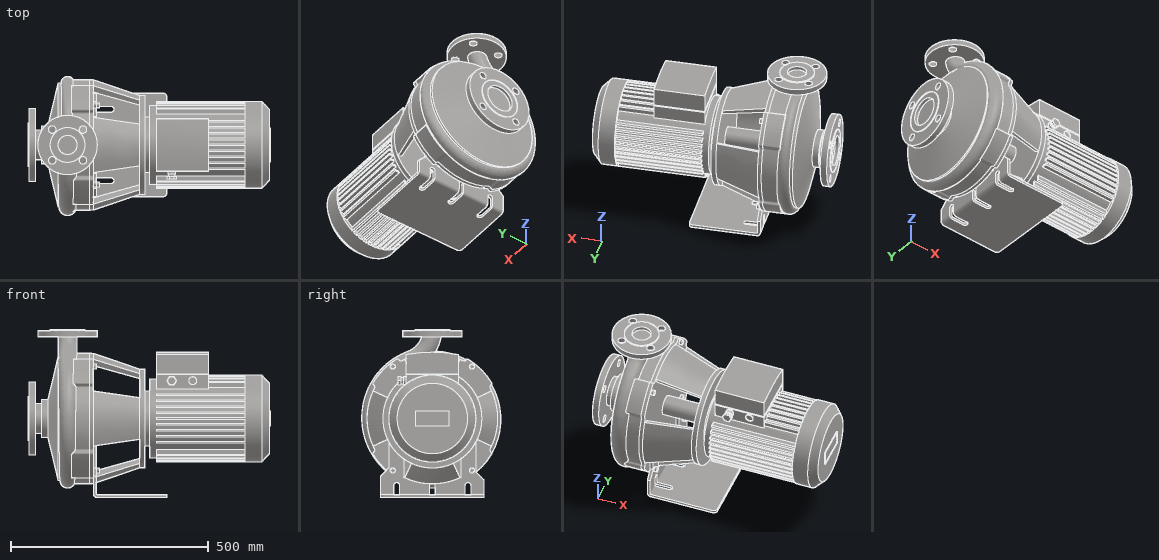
import cadquery as cq
import math


suction_face_x = -100.0
discharge_face_z = 225.0
suction = dict(bore=76.1, flange=185.0, raised=110.0, raised_height=2.0, thickness=17.0, bolt_circle=145.0)
discharge = dict(bore=48.3, flange=150.0, raised=88.0, raised_height=3.0, thickness=16.0, bolt_circle=110.0)
flange_hole_diameter = 19.0
nozzle_bore_depth = 10.0
suction_collar_diameter = 96.1
suction_collar_x = -66.5

volute_radius = 313.36 / 2
cone_start_x = -50.0
cone_end_x = -24.0
tube_end_radius = discharge["bore"] / 2
tube_start_radius = 13.87
tube_section_count = 15
start_angle = -10.0
casing_radius = 165.0
casing_front_x = 10.0
casing_rear_x = 55.0

lug_angles = (45, 135, 225, 315)
lug_radius = 175.0
lug_half_angle = 13.6
lug_foot_half_angle = 17.3
lug_edge_round = 5.2
lug_root_depth = 15.0

lantern_flange_thickness = 10.0
lantern_rear_x = casing_rear_x + lantern_flange_thickness
lantern_ring_x = 182.0
lantern_ring_end_x = 195.0
lantern_ring_radius = 250.0 / 2
lantern_wall_front = 18.0
lantern_wall_rear = 14.0
window_half_angle = 20.0

foot_bottom_z = -200.0
foot_thickness = 8.0
foot_half_width = 131.0
foot_end_x = 251.0
foot_bend_radius = 10.0
foot_corner_radius = 10.0
foot_shoulder_z = -155.5
foot_raised_shoulder_z = -145.5
foot_ear_half_width = 110.0
foot_ear_top_z = -60.0
foot_notch_half_width = 72.0
slot_width = 14.0
slot_spacing = 90.0
slot_top_z = -162.0
slot_end_x = 117.0

bolt_y = 100.0
bolt_z = 131.0
bolt_head_diameter = 13.0
bolt_head_height = 8.0
bolt_shank_diameter = 9.0

shaft_radius = 50.0 / 2
motor_neck_radius = 140.0 / 2
motor_flange_x = 207.0
fins_start_x = 224.0
fan_cover_x = 448.5
fan_cover_taper_x = 490.5
fan_cover_end_x = 510.5
motor_end_x = 512.5
motor_core_radius = 200.0 / 2
motor_outer_radius = 220.0 / 2
fan_cover_end_radius = 89.0
end_plate_size = (85.0, 39.0)
fin_pitch = 15.0
fin_thickness = 4.0
fins_each_side_of_centre = 4

box_length = 132.0
box_half_width = 66.5
box_edge_z = 161.5
box_crown_z = 167.5
box_seam_z = 112.0
seam_width = 2.0
seam_depth = 1.0
gland_x = 263.0
gland_spacing = 53.0
gland_z = 95.5
gland_hole_diameter = 20.0
gland_hole_depth = 2.0
gland_collar_length = 7.0
gland_neck_diameter = 16.0
gland_neck_length = 6.0
gland_nut_across_flats = 21.0
gland_nut_thickness = 7.0


def rod(x_start, x_end, radius, y=0.0, z=0.0):
    """Cylinder along X between two stations."""
    return cq.Workplane("YZ", origin=(x_start, y, z)).circle(radius).extrude(x_end - x_start)


def revolved(profile):
    """Solid of revolution about the shaft axis from (x, radius) points."""
    return cq.Workplane("XY").polyline(profile).close().revolve(360, (0, 0, 0), (1, 0, 0))


def rim_point(radius, angle):
    """Point (y, z) on a circle about the shaft axis, with the angle measured from +Y."""
    return (radius * math.cos(math.radians(angle)), radius * math.sin(math.radians(angle)))


def nozzle_flange(plane, size):
    """Flange with raised face and bolt holes; its sealing face is on the plane, its body behind it."""
    hole_square = size["bolt_circle"] / math.sqrt(2)
    flange = (
        cq.Workplane(plane)
        .workplane(offset=-size["raised_height"])
        .circle(size["flange"] / 2)
        .extrude(-size["thickness"])
    )
    holes = (
        cq.Workplane(plane)
        .rect(hole_square, hole_square, forConstruction=True)
        .vertices()
        .circle(flange_hole_diameter / 2)
        .extrude(-size["raised_height"] - size["thickness"])
    )
    raised = cq.Workplane(plane).circle(size["raised"] / 2).extrude(-size["raised_height"])
    return flange.union(raised).cut(holes)


def nozzle_bore(plane, size):
    """Blind bore that opens in the sealing face."""
    return cq.Workplane(plane).circle(size["bore"] / 2).extrude(-nozzle_bore_depth)


def rim_lugs(x_start, x_end):
    """Four raised pads with rounded edges and filleted roots, reaching in below the rim surface."""
    root_radius = casing_radius - lug_root_depth
    top_slope = math.radians(lug_half_angle)
    foot_slope = math.radians(lug_foot_half_angle)
    top_x, top_y = rim_point(lug_radius, lug_half_angle)
    foot_x, foot_y = rim_point(casing_radius, lug_foot_half_angle)
    flank_y = top_y + lug_edge_round * (1 - math.sin(top_slope))
    flank_top_x = top_x - lug_edge_round * math.cos(top_slope)
    root_round = (foot_y - flank_y) / (1 - math.sin(foot_slope))
    flank_foot_x = foot_x + root_round * math.cos(foot_slope)
    half_lug = (
        cq.Workplane("YZ", origin=(x_start, 0, 0))
        .moveTo(root_radius, 0)
        .lineTo(lug_radius, 0)
        .threePointArc(rim_point(lug_radius, lug_half_angle / 2), (top_x, top_y))
        .tangentArcPoint((flank_top_x, flank_y), relative=False)
        .lineTo(flank_foot_x, flank_y)
        .tangentArcPoint((foot_x, foot_y), relative=False)
        .lineTo(*rim_point(root_radius, lug_foot_half_angle))
        .close()
        .extrude(x_end - x_start)
    )
    lug = half_lug.union(half_lug.mirror("XY"))
    lugs = cq.Workplane("YZ")
    for angle in lug_angles:
        lugs = lugs.add(lug.rotate((0, 0, 0), (1, 0, 0), angle))
    return lugs.combine()



discharge_bend_radius = (discharge_face_z**2 - volute_radius**2) / (2 * volute_radius)
exit_from_top = math.degrees(math.atan(discharge_bend_radius / discharge_face_z))
end_angle = 360 - exit_from_top


def volute_tube():
    """Tube around the casing that grows evenly from the tongue to the discharge pipe.

    Angles run from +Z towards +Y, so the exit lies on the -Y side of the top.
    """
    growth = (tube_end_radius - tube_start_radius) / end_angle
    sections = []
    for i in range(tube_section_count):
        angle = start_angle + (end_angle - start_angle) * i / (tube_section_count - 1)
        y, z = rim_point(volute_radius, 90 - angle)
        along = rim_point(1, -angle)
        sections.append(
            cq.Wire.makeCircle(tube_start_radius + growth * angle, cq.Vector(0, y, z), cq.Vector(0, *along))
        )
    return cq.Workplane(cq.Solid.makeLoft(sections))


suction_plane = cq.Plane((suction_face_x, 0, 0), xDir=(0, 1, 0), normal=(-1, 0, 0))
discharge_plane = cq.Plane((0, 0, discharge_face_z), xDir=(1, 0, 0), normal=(0, 0, 1))


def discharge_pipe():
    """Pipe on the tangent arc, swung from the discharge face down to the end of the volute tube."""
    bend_angle = 90 - exit_from_top
    return (
        cq.Workplane("XY", origin=(0, 0, discharge_face_z))
        .circle(tube_end_radius)
        .revolve(bend_angle, (0, -discharge_bend_radius, 0), (-1, -discharge_bend_radius, 0))
    )


def make_housing():
    suction_radius = suction["bore"] / 2
    collar_radius = suction_collar_diameter / 2
    body = revolved(
        [
            (suction_face_x + nozzle_bore_depth, 0),
            (suction_face_x + nozzle_bore_depth, suction_radius),
            (suction_collar_x, suction_radius),
            (suction_collar_x, collar_radius),
            (cone_start_x, collar_radius),
            (cone_end_x, volute_radius),
            (casing_front_x, volute_radius),
            (casing_front_x, casing_radius),
            (casing_rear_x, casing_radius),
            (casing_rear_x, 0),
        ]
    )
    body = body.union(volute_tube()).union(discharge_pipe())
    body = body.union(rim_lugs(casing_front_x, casing_rear_x))
    for plane, size in ((suction_plane, suction), (discharge_plane, discharge)):
        body = body.union(nozzle_flange(plane, size)).cut(nozzle_bore(plane, size))
    return body




def lantern_windows():
    """Four wedge-shaped openings through the wall, between the flange and the ring."""
    reach = 2 * casing_radius
    windows = cq.Workplane("YZ")
    for angle in lug_angles:
        window = (
            cq.Workplane("YZ", origin=(lantern_rear_x, 0, 0))
            .moveTo(0, 0)
            .lineTo(*rim_point(reach, angle - window_half_angle))
            .lineTo(*rim_point(reach, angle + window_half_angle))
            .close()
            .extrude(lantern_ring_x - lantern_rear_x)
        )
        windows = windows.add(window)
    return windows.combine()


def make_lantern():
    """Tapered hollow wall with windows, closed by the casing flange and the motor ring."""
    wall = revolved(
        [
            (lantern_rear_x, casing_radius - lantern_wall_front),
            (lantern_rear_x, casing_radius),
            (lantern_ring_x, lantern_ring_radius),
            (lantern_ring_x, lantern_ring_radius - lantern_wall_rear),
        ]
    )
    flange = rod(casing_rear_x, lantern_rear_x, casing_radius)
    flange = flange.union(rim_lugs(casing_rear_x, lantern_rear_x))
    ring = rod(lantern_ring_x, lantern_ring_end_x, lantern_ring_radius)
    ring = ring.cut(rod(lantern_ring_x, lantern_ring_end_x, shaft_radius))
    return wall.cut(lantern_windows()).union(flange).union(ring).cut(bolt_holes())



foot_rear_x = lantern_rear_x + foot_thickness
bolt_seats = [
    (-bolt_y, bolt_z, lantern_rear_x),
    (bolt_y, bolt_z, lantern_rear_x),
    (-bolt_y, -bolt_z, foot_rear_x),
    (bolt_y, -bolt_z, foot_rear_x),
]


def bolt_holes():
    holes = cq.Workplane("YZ")
    for y, z, seat_x in bolt_seats:
        holes = holes.add(rod(casing_rear_x, seat_x, bolt_shank_diameter / 2, y, z))
    return holes.combine()


def make_bolt(y, z, seat_x):
    """Bolt with a round head on its seat and a shank that ends at the casing."""
    head = rod(seat_x, seat_x + bolt_head_height, bolt_head_diameter / 2, y, z)
    return head.union(rod(casing_rear_x, seat_x, bolt_shank_diameter / 2, y, z))




def make_foot():
    """Bent plate: an upright with two ears bolted to the lantern and a base reaching under the motor."""
    shoulder_run = foot_half_width - foot_ear_half_width
    base_top_z = foot_bottom_z + foot_thickness

    bent_plate = (
        cq.Workplane("XZ", origin=(0, foot_half_width, 0))
        .moveTo(lantern_rear_x, foot_bottom_z)
        .lineTo(foot_end_x, foot_bottom_z)
        .lineTo(foot_end_x, base_top_z)
        .lineTo(foot_rear_x, base_top_z)
        .lineTo(foot_rear_x, foot_ear_top_z)
        .lineTo(lantern_rear_x, foot_ear_top_z)
        .close()
        .extrude(2 * foot_half_width)
    )
    outer_bend = cq.selectors.NearestToPointSelector((lantern_rear_x, 0, foot_bottom_z))
    inner_bend = cq.selectors.NearestToPointSelector((foot_rear_x, 0, base_top_z))
    bent_plate = bent_plate.edges(outer_bend).fillet(foot_bend_radius)
    bent_plate = bent_plate.edges(inner_bend).fillet(foot_bend_radius - foot_thickness)
    bent_plate = bent_plate.edges(">X and |Z").fillet(foot_corner_radius)

    outline = (
        cq.Workplane("YZ")
        .moveTo(-foot_half_width, foot_bottom_z)
        .lineTo(foot_half_width, foot_bottom_z)
        .lineTo(foot_half_width, foot_shoulder_z)
        .lineTo(foot_ear_half_width, foot_shoulder_z + shoulder_run)
        .lineTo(foot_ear_half_width, foot_ear_top_z)
        .lineTo(-foot_ear_half_width, foot_ear_top_z)
        .lineTo(-foot_ear_half_width, foot_raised_shoulder_z + shoulder_run)
        .lineTo(-foot_half_width, foot_raised_shoulder_z)
        .close()
        .extrude(foot_end_x)
    )
    rib_gap = rod(lantern_rear_x, foot_rear_x, casing_radius).intersect(
        cq.Workplane("YZ", origin=(lantern_rear_x, 0, 0))
        .rect(2 * foot_notch_half_width, 2 * casing_radius)
        .extrude(foot_thickness)
    )
    foot = bent_plate.intersect(outline).cut(rib_gap).cut(bolt_holes())

    slot_height = slot_top_z - foot_bottom_z
    for y in (-slot_spacing, 0, slot_spacing):
        through_base = (
            cq.Workplane("XY", origin=(0, y, foot_bottom_z))
            .slot2D(2 * slot_end_x, slot_width)
            .extrude(slot_height)
        )
        upright_arch = (
            cq.Workplane("YZ", origin=(0, y, foot_bottom_z))
            .slot2D(2 * slot_height, slot_width, 90)
            .extrude(slot_end_x)
        )
        foot = foot.cut(through_base.intersect(upright_arch))
    return foot




def motor_fins():
    """Parallel fins on all four sides, trimmed to the round envelope of the motor."""
    length = fan_cover_x - fins_start_x
    fins = cq.Workplane("YZ")
    for i in range(-fins_each_side_of_centre, fins_each_side_of_centre + 1):
        blank = cq.Workplane("YZ", origin=(fins_start_x, 0, 0))
        offset = i * fin_pitch
        fins = fins.add(blank.center(0, offset).rect(2 * motor_outer_radius, fin_thickness).extrude(length))
        fins = fins.add(blank.center(offset, 0).rect(fin_thickness, 2 * motor_outer_radius).extrude(length))
    return fins.combine().intersect(rod(fins_start_x, fan_cover_x, motor_outer_radius))


def terminal_box():
    """Box with a crowned lid, a shallow seam below the lid and two cable entries on the -Y side."""
    box = (
        cq.Workplane("YZ", origin=(fins_start_x, 0, 0))
        .moveTo(-box_half_width, 0)
        .lineTo(-box_half_width, box_edge_z)
        .threePointArc((0, box_crown_z), (box_half_width, box_edge_z))
        .lineTo(box_half_width, 0)
        .close()
        .extrude(box_length)
    )
    seam_start = cq.Workplane("XY", origin=(fins_start_x + box_length / 2, 0, box_seam_z - seam_width / 2))
    seam = (
        seam_start.rect(box_length, 2 * box_half_width)
        .rect(box_length - 2 * seam_depth, 2 * (box_half_width - seam_depth))
        .extrude(seam_width)
    )
    entries = (
        gland_plane()
        .pushPoints([(0, 0), (gland_spacing, 0)])
        .circle(gland_hole_diameter / 2)
        .extrude(-gland_hole_depth)
    )
    return box.cut(seam).cut(entries)


def gland_plane():
    """Outer face of the terminal box at the first cable entry, facing -Y."""
    return cq.Workplane("XZ", origin=(gland_x, -box_half_width, gland_z))


def make_motor():
    """Motor with its shaft reaching through the lantern ring up to the lantern flange."""
    body = revolved(
        [
            (lantern_rear_x, 0),
            (lantern_rear_x, shaft_radius),
            (lantern_ring_end_x, shaft_radius),
            (lantern_ring_end_x, motor_neck_radius),
            (motor_flange_x, motor_neck_radius),
            (motor_flange_x, motor_core_radius),
            (fan_cover_x, motor_core_radius),
            (fan_cover_x, motor_outer_radius),
            (fan_cover_taper_x, motor_outer_radius),
            (fan_cover_end_x, fan_cover_end_radius),
            (fan_cover_end_x, 0),
        ]
    )
    end_plate = (
        cq.Workplane("YZ", origin=(fan_cover_end_x, 0, 0))
        .rect(*end_plate_size)
        .extrude(motor_end_x - fan_cover_end_x)
    )
    return body.union(motor_fins()).union(terminal_box()).union(end_plate)


def make_gland():
    """Cable gland seated in the first entry: round collar, thinner neck and hexagon nut."""
    nut_across_corners = gland_nut_across_flats / math.cos(math.pi / 6)
    collar = (
        gland_plane()
        .workplane(offset=-gland_hole_depth)
        .circle(gland_hole_diameter / 2)
        .extrude(gland_hole_depth + gland_collar_length)
    )
    neck = (
        gland_plane()
        .workplane(offset=gland_collar_length)
        .circle(gland_neck_diameter / 2)
        .extrude(gland_neck_length)
    )
    nut = (
        gland_plane()
        .workplane(offset=gland_collar_length + gland_neck_length)
        .polygon(6, nut_across_corners)
        .extrude(gland_nut_thickness)
    )
    return collar.union(neck).union(nut)


housing = make_housing()
lantern = make_lantern()
foot = make_foot()
motor = make_motor()
gland = make_gland()
bolts = [make_bolt(*seat) for seat in bolt_seats]

result = cq.Compound.makeCompound(
    [housing.val(), lantern.val(), foot.val(), motor.val(), gland.val(), *[bolt.val() for bolt in bolts]]
)